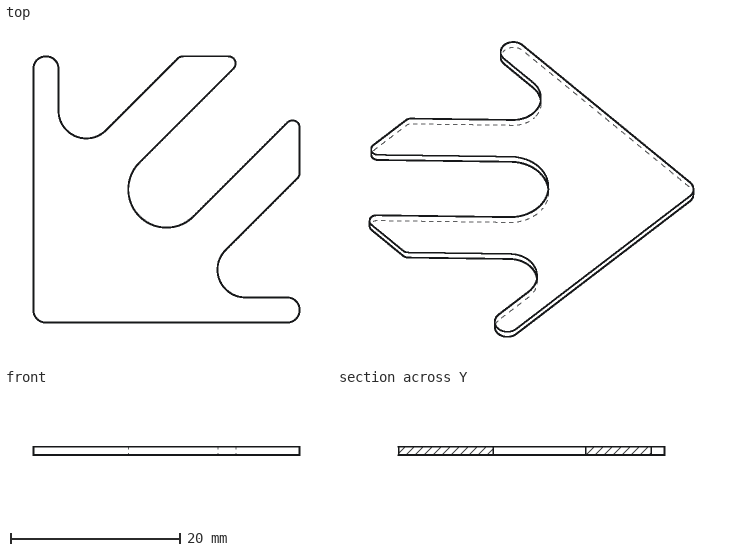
import cadquery as cq
import math

side = 31.5
thickness = 1.0
arm_width = 3.0
corner_radius = 1.48
slot_radius = 4.5
prong_width = 5.5
notch_radius = 3.28
tip_radius = 0.85

inner_offset = slot_radius * math.sqrt(2)
outer_offset = (slot_radius + prong_width) * math.sqrt(2)

overshoot = side
corner_tolerance = 0.03


def plate():
    """Square plate with one corner on the origin."""
    return cq.Workplane("XY").rect(side, side, centered=False).extrude(thickness)


def diagonal_slot():
    """Round-ended slot from the plate centre out along the diagonal."""
    return (
        cq.Workplane("XY")
        .circle(slot_radius)
        .extrude(thickness)
        .union(
            cq.Workplane("XY")
            .rect(side + overshoot, 2 * slot_radius)
            .extrude(thickness)
            .translate(((side + overshoot) / 2, 0, 0))
        )
        .rotate((0, 0, 0), (0, 0, 1), 45)
        .translate((side / 2, side / 2, 0))
    )


def side_notch():
    """Notch between the upright arm and its prong, with a round bottom."""
    center_x = arm_width + notch_radius
    center_y = center_x + outer_offset + notch_radius * math.sqrt(2)
    diagonal_step = notch_radius / math.sqrt(2)
    tangent_x = center_x + diagonal_step
    tangent_y = center_y - diagonal_step
    top = side + overshoot
    middle_angle = math.radians((180 + 315) / 2)
    middle = (
        center_x + notch_radius * math.cos(middle_angle),
        center_y + notch_radius * math.sin(middle_angle),
    )
    return (
        cq.Workplane("XY")
        .moveTo(arm_width, top)
        .lineTo(arm_width, center_y)
        .threePointArc(middle, (tangent_x, tangent_y))
        .lineTo(top - outer_offset, top)
        .close()
        .extrude(thickness)
    )


def mirror_diagonal(body):
    """Mirror a flat body about y = x: turn it over, then turn it a quarter."""
    return body.mirror("XZ").rotate((0, 0, 0), (0, 0, 1), 90)


def round_corners(body, points, radius):
    """Fillet the upright edges at the given plan positions."""
    for x, y in points:
        picker = cq.selectors.BoxSelector(
            (x - corner_tolerance, y - corner_tolerance, 0),
            (x + corner_tolerance, y + corner_tolerance, thickness),
        )
        body = body.edges("|Z").edges(picker).fillet(radius)
    return body


def with_mirrored(points):
    """The points together with their mirror images about y = x."""
    return points + [(y, x) for x, y in points]


notch = side_notch()
result = plate().cut(diagonal_slot()).cut(notch).cut(mirror_diagonal(notch))

arm_corners = with_mirrored([(0, side), (arm_width, side)])
prong_corners = with_mirrored([(side - outer_offset, side), (side - inner_offset, side)])
result = round_corners(result, [(0, 0)] + arm_corners, corner_radius)
result = round_corners(result, prong_corners, tip_radius)